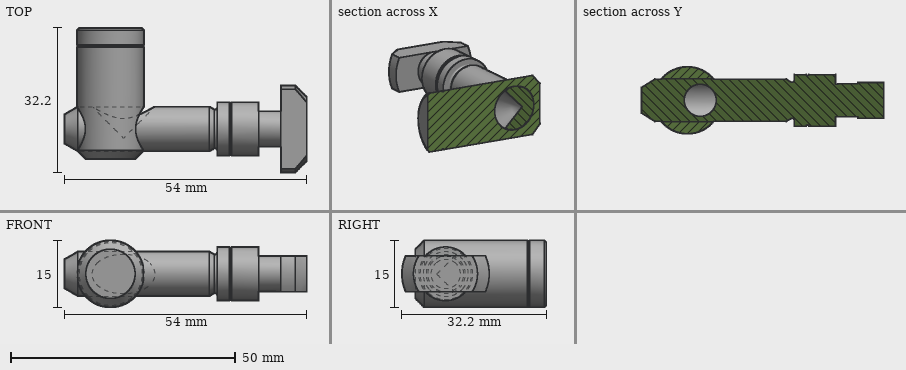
import cadquery as cq
import math


housing_radius = 7.5
housing_front_y = -6.75
housing_back_y = 22.5
front_chamfer = 2.0
back_chamfer = 0.5
housing_groove_y = 18.5
housing_groove_depth = 0.25

shaft_radius = 5.0
collar_radius = 6.0
stem_radius = 4.0
undercut_radius = 4.35

bolt_start_x = -10.25
bolt_length = 54.0
bolt_end_x = bolt_start_x + bolt_length
tip_length = 3.0
tip_to_collar = 34.0
collar_start_x = bolt_start_x + tip_to_collar
collar_length = 9.25
stem_length = 5.0
undercut_length = 0.6
undercut_fillet = 0.4
collar_rim_length = 3.0
collar_groove_x = collar_start_x + collar_rim_length
collar_groove_depth = 0.3
collar_end_x = collar_start_x + collar_length
head_start_x = collar_end_x + stem_length

taper_slope = math.tan(math.radians(30))
tip_radius = shaft_radius - tip_length * taper_slope
undercut_start_x = collar_start_x - undercut_length
taper_start_x = undercut_start_x - (shaft_radius - undercut_radius) / taper_slope

head_radius = 9.75
head_thickness = 2 * stem_radius
head_chamfer = 2.6

seat_center_x = 2.85
seat_radius = 7.0
seat_cone_height = seat_radius


def revolved_about_x(profile):
    """Revolve a closed (x, radius) profile about the X axis."""
    return profile.revolve(360, (0, 0, 0), (1, 0, 0))


def revolved_about_y(profile):
    """Revolve an outline of (radius, y) points about the Y axis."""
    return cq.Workplane("XY").polyline(profile).close().revolve(360, (0, 0, 0), (0, 1, 0))


def make_housing():
    """Chamfered cylinder with a V groove near the back and a cross hole for the shaft."""
    body = revolved_about_y([
        (0, housing_front_y),
        (housing_radius - front_chamfer, housing_front_y),
        (housing_radius, housing_front_y + front_chamfer),
        (housing_radius, housing_groove_y - housing_groove_depth),
        (housing_radius - housing_groove_depth, housing_groove_y),
        (housing_radius, housing_groove_y + housing_groove_depth),
        (housing_radius, housing_back_y - back_chamfer),
        (housing_radius - back_chamfer, housing_back_y),
        (0, housing_back_y),
    ])
    cross_hole = cq.Workplane("YZ").circle(shaft_radius).extrude(housing_radius, both=True)
    return body.cut(cross_hole)


def make_shank():
    """Shaft with tapered ends, grooved collar and the thinner stem behind the head."""
    fillet_inset = undercut_fillet * (1 - math.sqrt(0.5))
    fillet_start = (collar_start_x - undercut_fillet, undercut_radius)
    fillet_middle = (collar_start_x - fillet_inset, undercut_radius + fillet_inset)
    fillet_end = (collar_start_x, undercut_radius + undercut_fillet)
    profile = (
        cq.Workplane("XY")
        .moveTo(bolt_start_x, 0)
        .lineTo(bolt_start_x, tip_radius)
        .lineTo(bolt_start_x + tip_length, shaft_radius)
        .lineTo(taper_start_x, shaft_radius)
        .lineTo(undercut_start_x, undercut_radius)
        .lineTo(*fillet_start)
        .threePointArc(fillet_middle, fillet_end)
        .lineTo(collar_start_x, collar_radius)
        .lineTo(collar_groove_x - collar_groove_depth, collar_radius)
        .lineTo(collar_groove_x, collar_radius - collar_groove_depth)
        .lineTo(collar_groove_x + collar_groove_depth, collar_radius)
        .lineTo(collar_end_x, collar_radius)
        .lineTo(collar_end_x, stem_radius)
        .lineTo(head_start_x, stem_radius)
        .lineTo(head_start_x, 0)
        .close()
    )
    return revolved_about_x(profile)


def make_head():
    """Chamfered disc with flats above and below, as thick as the stem."""
    disc_profile = cq.Workplane("XY").polyline([
        (head_start_x, 0),
        (head_start_x, head_radius),
        (bolt_end_x - head_chamfer, head_radius),
        (bolt_end_x, head_radius - head_chamfer),
        (bolt_end_x, 0),
    ]).close()
    disc = revolved_about_x(disc_profile)
    flats = cq.Workplane("XY").box(2 * bolt_length, 2 * head_radius, head_thickness)
    return disc.intersect(flats)


def make_screw_seat():
    """Cone along Y for the clamping screw, widest level with the back of the shaft."""
    cone = revolved_about_y([
        (0, shaft_radius - seat_cone_height),
        (seat_radius, shaft_radius),
        (0, shaft_radius),
    ])
    return cone.translate((seat_center_x, 0, 0))


def make_bolt():
    """Shank and hammer head in one piece, with the screw seat cut into the shaft."""
    return make_shank().union(make_head()).cut(make_screw_seat())


housing = make_housing()
bolt = make_bolt()
result = cq.Compound.makeCompound([housing.val(), bolt.val()])